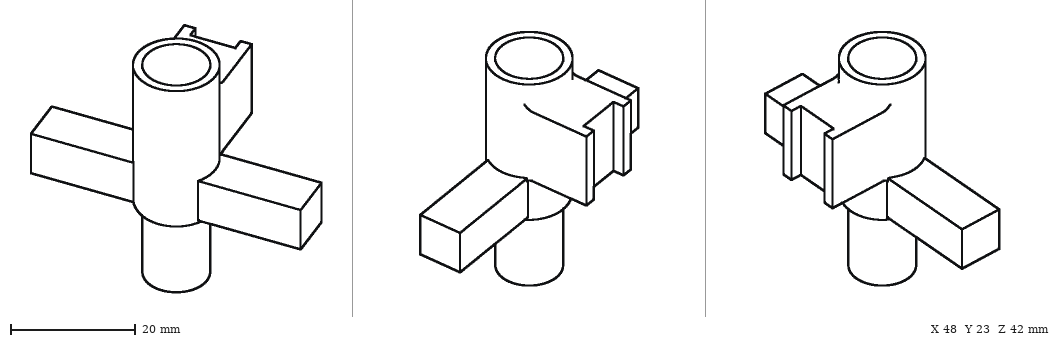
import cadquery as cq
import math

total_height = 42.0
tube_radius = 14.0 / 2
bore_radius = 11.0 / 2
spigot_radius = bore_radius
shoulder_height = 15.0
blend_radius = 1.0

arm_span = 48
arm_size = 8.0

block_width = 12
block_height = 14.0
block_back = 16.0
slot_width = 8.0
slot_depth = 2.0

block_base = shoulder_height + arm_size
bore_depth = total_height - shoulder_height


def arc_point(center, angle):
    """Point on a shoulder arc, as (radius, height)."""
    return (
        center[0] + blend_radius * math.cos(angle),
        center[1] + blend_radius * math.sin(angle),
    )


def make_body():
    """Tube and spigot, joined by a convex and a concave arc tangent to each other."""
    convex_center = (tube_radius - blend_radius, shoulder_height)
    concave_center_radius = spigot_radius + blend_radius
    lean = math.acos((concave_center_radius - convex_center[0]) / (2 * blend_radius))
    drop = 2 * blend_radius * math.sin(lean)
    concave_center = (concave_center_radius, shoulder_height - drop)
    profile = (
        cq.Workplane("XZ")
        .lineTo(spigot_radius, 0)
        .lineTo(spigot_radius, concave_center[1])
        .threePointArc(
            arc_point(concave_center, math.pi - lean / 2),
            arc_point(concave_center, math.pi - lean),
        )
        .threePointArc(arc_point(convex_center, -lean / 2), (tube_radius, shoulder_height))
        .lineTo(tube_radius, total_height)
        .lineTo(0, total_height)
        .close()
    )
    return profile.revolve(360, (0, 0, 0), (0, 1, 0))


def add_block(body):
    """Rear block, filleted all round where it meets the tube."""
    block = (
        cq.Workplane("XY", origin=(0, block_back / 2, block_base))
        .rect(block_width, block_back)
        .extrude(block_height)
    )
    joined = body.union(block)
    half_width = block_width / 2
    junction_y = math.sqrt(tube_radius**2 - half_width**2)
    margin = 0.05
    junction = cq.selectors.BoxSelector(
        (-half_width - margin, junction_y - margin, block_base - margin),
        (half_width + margin, tube_radius + margin, block_base + block_height + margin),
        boundingbox=True,
    )
    return joined.edges(junction).fillet(blend_radius)


def make_slot():
    """Vertical channel in the back face of the block."""
    return (
        cq.Workplane("XY", origin=(0, block_back - slot_depth / 2, block_base))
        .rect(slot_width, slot_depth)
        .extrude(block_height)
    )


def make_arms():
    """Square bar crossing the tube along X."""
    return cq.Workplane("XY", origin=(0, 0, shoulder_height)).rect(arm_span, arm_size).extrude(arm_size)


def make_bore():
    """Blind socket from the top of the tube down to the shoulder."""
    return cq.Workplane("XY", origin=(0, 0, total_height)).circle(bore_radius).extrude(-bore_depth)


result = add_block(make_body()).cut(make_slot()).union(make_arms()).cut(make_bore())